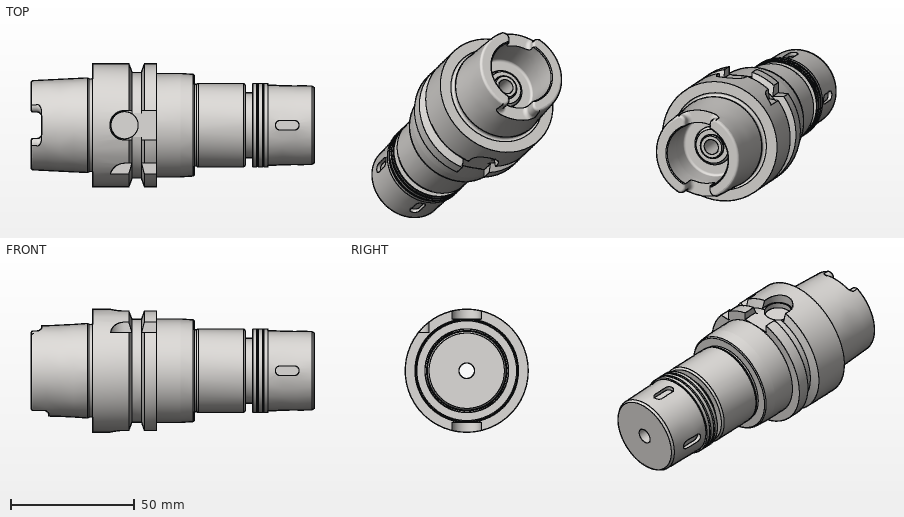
import cadquery as cq
import math

total_length = 115.0

shank_mouth_radius = 36.2 / 2
shank_taper_end = 22.9
shank_taper = 0.05
neck_start = 23.6
neck_radius = 18.9
shank_end_radius = shank_mouth_radius + shank_taper * shank_taper_end

flange_start = 25.0
flange_end = 51.0
flange_radius = 50.0 / 2
undercut_start = 24.6
undercut_middle_x = 25.4
undercut_middle_radius = 19.7
undercut_rim_radius = 20.4
groove_radius = 21.5
groove_front_rim = 39.7
groove_floor_start = 41.0
groove_floor_end = 44.7
groove_back_rim = 46.0

body_radius = 21.0
body_straight_end = 60.8
body_end = 66.2
body_end_radius = 20.7
body_end_chamfer = 0.5
sleeve_radius = 17.0
sleeve_relief_radius = 16.7
sleeve_relief_end = 67.2
sleeve_start = 68.0
sleeve_end = 87.0
sleeve_chamfer = 0.8
nut_neck_radius = 13.2

nut_start = 89.9
nut_rib_radius = sleeve_radius
nut_rib_width = 1.6
nut_rib_pitch = 2.3
nut_groove_count = 2
nut_groove_radius = 16.6
nut_front_chamfer = 0.2
nut_cone_start_radius = 16.3
nut_cone_end_radius = 16.0
nut_chamfer = 1.0
nut_chamfer_drop = 0.7

bore_rim_radius = 13.7
bore_mouth_radius = 26.6 / 2
bore_mouth_chamfer = 0.5
bore_mouth_depth = 9.8
bore_radius = 13.0
bore_depth = 18.6
bore_fillet = 1.0
collar_radius = 16.0 / 2
collar_start = 16.8
collar_chamfer = 0.9
tube_radius = 10.0 / 2
tube_start = 15.6
tube_chamfer = 0.5
through_radius = 3.1

drive_slot_half_width = 5.3
drive_slot_depths = {1: 4.3, -1: 7.1}
drive_ledge_height = 16.2
drive_ledge_radius = 2.3
drive_floor_fillet = 1.7
drive_rim_fillet = 1.0

keyway_end_radius = 6.0
keyway_width = 2 * keyway_end_radius
keyway_center = 38.0
keyway_floor = 20.9
chip_hole_diameter = 11.0
chip_hole_floor = 18.5
notch_offset = 15.4

spanner_slot_length = 9.7
spanner_slot_width = 3.9
spanner_slot_center = 104.0
spanner_slot_floor = 14.5
spanner_slot_count = 4


def revolve_about_x(profile):
    return profile.close().revolve(360, (0, 0, 0), (1, 0, 0))


def turn_over(cutter):
    return cutter.rotate((0, 0, 0), (1, 0, 0), 180)


def turned_body():
    profile = (
        cq.Workplane("XY")
        .moveTo(0, 0)
        .lineTo(0, shank_mouth_radius)
        .lineTo(shank_taper_end, shank_end_radius)
        .lineTo(neck_start, neck_radius)
        .lineTo(undercut_start, neck_radius)
        .threePointArc((undercut_middle_x, undercut_middle_radius), (flange_start, undercut_rim_radius))
        .lineTo(flange_start, flange_radius)
        .lineTo(groove_front_rim, flange_radius)
        .lineTo(groove_floor_start, groove_radius)
        .lineTo(groove_floor_end, groove_radius)
        .lineTo(groove_back_rim, flange_radius)
        .lineTo(flange_end, flange_radius)
        .lineTo(flange_end, body_radius)
        .lineTo(body_straight_end, body_radius)
        .lineTo(body_end - body_end_chamfer, body_end_radius)
        .lineTo(body_end, body_end_radius - body_end_chamfer)
        .lineTo(body_end, sleeve_relief_radius)
        .lineTo(sleeve_relief_end, sleeve_relief_radius)
        .lineTo(sleeve_start, sleeve_radius)
        .lineTo(sleeve_end - sleeve_chamfer, sleeve_radius)
        .lineTo(sleeve_end, sleeve_radius - sleeve_chamfer)
        .lineTo(sleeve_end, nut_neck_radius)
        .lineTo(nut_start, nut_neck_radius)
        .lineTo(nut_start, nut_rib_radius - nut_front_chamfer)
        .lineTo(nut_start + nut_front_chamfer, nut_rib_radius)
    )
    for groove in range(nut_groove_count):
        rib_end = nut_start + nut_rib_width + groove * nut_rib_pitch
        next_rib = nut_start + (groove + 1) * nut_rib_pitch
        profile = (
            profile
            .lineTo(rib_end, nut_rib_radius)
            .lineTo((rib_end + next_rib) / 2, nut_groove_radius)
            .lineTo(next_rib, nut_rib_radius)
        )
    last_rib_end = nut_start + nut_rib_width + nut_groove_count * nut_rib_pitch
    profile = (
        profile
        .lineTo(last_rib_end, nut_rib_radius)
        .lineTo(last_rib_end, nut_cone_start_radius)
        .lineTo(total_length - nut_chamfer, nut_cone_end_radius)
        .lineTo(total_length, nut_cone_end_radius - nut_chamfer_drop)
        .lineTo(total_length, 0)
    )
    return revolve_about_x(profile)


def shank_bore():
    """Annular space around the coolant tube, open at the shank mouth."""
    fillet_middle = bore_fillet * math.sqrt(0.5)
    profile = (
        cq.Workplane("XY")
        .moveTo(0, 0)
        .lineTo(0, bore_rim_radius)
        .lineTo(bore_mouth_chamfer, bore_mouth_radius)
        .lineTo(bore_mouth_depth, bore_radius)
        .lineTo(bore_depth - bore_fillet, bore_radius)
        .threePointArc(
            (bore_depth - bore_fillet + fillet_middle, bore_radius - bore_fillet + fillet_middle),
            (bore_depth, bore_radius - bore_fillet),
        )
        .lineTo(bore_depth, collar_radius)
        .lineTo(collar_start + collar_chamfer, collar_radius)
        .lineTo(collar_start, collar_radius - collar_chamfer)
        .lineTo(collar_start, tube_radius)
        .lineTo(tube_start + tube_chamfer, tube_radius)
        .lineTo(tube_start, tube_radius - tube_chamfer)
        .lineTo(tube_start, 0)
    )
    return revolve_about_x(profile)


def through_hole():
    return cq.Workplane("YZ").circle(through_radius).extrude(total_length)


def drive_slot(side):
    """Slot through the shank wall, widening over rounded tongue corners to the outside."""
    reach = flange_radius
    ledge_start = drive_slot_half_width + drive_ledge_radius
    arc_offset = drive_ledge_radius * (1 - math.sqrt(0.5))
    arc_middle = (drive_slot_half_width + arc_offset, drive_ledge_height - arc_offset)
    arc_start_height = drive_ledge_height - drive_ledge_radius
    cutter = (
        cq.Workplane("YZ")
        .moveTo(-drive_slot_half_width, 0)
        .lineTo(drive_slot_half_width, 0)
        .lineTo(drive_slot_half_width, arc_start_height)
        .threePointArc(arc_middle, (ledge_start, drive_ledge_height))
        .lineTo(reach, drive_ledge_height)
        .lineTo(reach, reach)
        .lineTo(-reach, reach)
        .lineTo(-reach, drive_ledge_height)
        .lineTo(-ledge_start, drive_ledge_height)
        .threePointArc((-arc_middle[0], arc_middle[1]), (-drive_slot_half_width, arc_start_height))
        .close()
        .extrude(drive_slot_depths[side])
        .faces(">X")
        .edges()
        .fillet(drive_floor_fillet)
    )
    return cutter if side > 0 else turn_over(cutter)


def keyway(side):
    """Flat-bottomed keyway with a round end, open towards the nut."""
    run = flange_end - keyway_center
    cutter = (
        cq.Workplane("XY", origin=(keyway_center, 0, keyway_floor))
        .circle(keyway_end_radius)
        .extrude(flange_radius)
        .union(
            cq.Workplane("XY", origin=(keyway_center, 0, keyway_floor))
            .rect(run, keyway_width)
            .extrude(flange_radius)
            .translate((run / 2, 0, 0))
        )
    )
    return cutter if side > 0 else turn_over(cutter)


def chip_hole():
    return (
        cq.Workplane("XY", origin=(keyway_center, 0, chip_hole_floor))
        .circle(chip_hole_diameter / 2)
        .extrude(flange_radius)
    )


def corner_notch():
    """Notch at the -Y +Z corner: one horizontal face, one upright face and a rounded end."""
    reach = flange_radius
    middle = keyway_end_radius * math.sqrt(0.5)
    end_center_y = -notch_offset - keyway_end_radius
    end_x = keyway_center - keyway_end_radius
    return (
        cq.Workplane("XY", origin=(0, 0, notch_offset))
        .moveTo(flange_end, -notch_offset)
        .lineTo(keyway_center, -notch_offset)
        .threePointArc((keyway_center - middle, end_center_y + middle), (end_x, end_center_y))
        .lineTo(end_x, -reach)
        .lineTo(flange_end, -reach)
        .close()
        .extrude(reach)
    )


def spanner_slot(angle):
    return (
        cq.Workplane("XY", origin=(spanner_slot_center, 0, spanner_slot_floor))
        .slot2D(spanner_slot_length, spanner_slot_width)
        .extrude(nut_rib_radius)
        .rotate((0, 0, 0), (1, 0, 0), angle)
    )


shank = turned_body()
for side in drive_slot_depths:
    shank = shank.cut(drive_slot(side))
shank = shank.faces("<X").edges().fillet(drive_rim_fillet)

result = shank.cut(shank_bore()).cut(through_hole())
for side in (1, -1):
    result = result.cut(keyway(side))
result = result.cut(chip_hole()).cut(corner_notch())
for index in range(spanner_slot_count):
    result = result.cut(spanner_slot(index * 360 / spanner_slot_count))